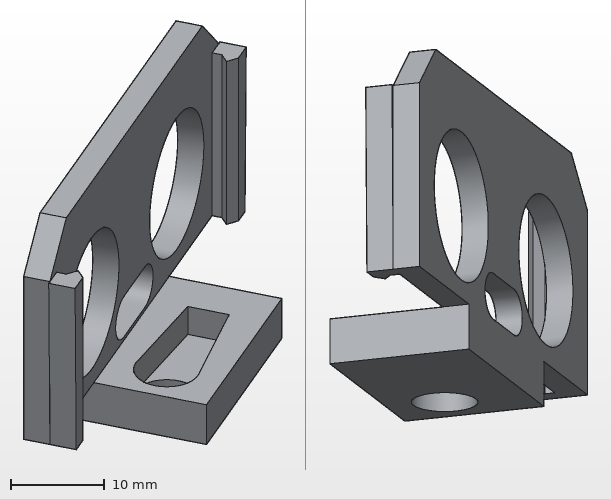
import cadquery as cq

plate_thickness = 3.0
plate_width = 51.5
total_height = 30.55
corner_cut_width = 5.0
corner_cut_height = 5.1

shelf_reach = 15.83
shelf_width = 23.0
shelf_thickness = 5.0
shelf_offset = -0.85

window_diameter = 16.5
window_spacing = 25.9
window_height = 15.3
slot_length = 11.4
slot_width = 5.1
slot_height = 7.95

hole_diameter = 7.1
hole_x = 9.35
hole_to_shelf_end = 5.25
recess_to_shelf_end = 5.05
recess_end_width = 4.7
recess_depth = 3.5

clip_reach = 3.0
clip_thickness = 2.4
clip_lean = 0.365
ridge_height = 1.1
ridge_start = 1.1
ridge_tip = 2.05

shelf_min_y = shelf_offset - shelf_width / 2
shelf_max_y = shelf_offset + shelf_width / 2
hole_y = shelf_min_y + hole_to_shelf_end
recess_end_y = shelf_max_y - recess_to_shelf_end
shoulder_height = total_height - corner_cut_height


def make_plate():
    """Plate with cut upper corners, a narrow foot, two windows and a slot."""
    half_width = plate_width / 2
    half_top = half_width - corner_cut_width
    outline = [
        (shelf_min_y, 0),
        (shelf_max_y, 0),
        (shelf_max_y, shelf_thickness),
        (half_width, shelf_thickness),
        (half_width, shoulder_height),
        (half_top, total_height),
        (-half_top, total_height),
        (-half_width, shoulder_height),
        (-half_width, shelf_thickness),
        (shelf_min_y, shelf_thickness),
    ]
    plate = cq.Workplane("YZ").polyline(outline).close().extrude(plate_thickness)
    windows = (
        cq.Workplane("YZ")
        .pushPoints([(-window_spacing / 2, window_height), (window_spacing / 2, window_height)])
        .circle(window_diameter / 2)
        .extrude(plate_thickness)
    )
    slot = cq.Workplane("YZ").center(0, slot_height).slot2D(slot_length, slot_width).extrude(plate_thickness)
    return plate.cut(windows).cut(slot)


def make_shelf():
    """Shelf with the through hole and the tapered recess in its top face."""
    shelf = (
        cq.Workplane("XY")
        .center(0, shelf_offset)
        .box(shelf_reach, shelf_width, shelf_thickness, centered=(False, True, False))
    )
    hole = cq.Workplane("XY").center(hole_x, hole_y).circle(hole_diameter / 2).extrude(shelf_thickness)
    recess_outline = [
        (hole_x - hole_diameter / 2, hole_y),
        (hole_x + hole_diameter / 2, hole_y),
        (hole_x + recess_end_width / 2, recess_end_y),
        (hole_x - recess_end_width / 2, recess_end_y),
    ]
    recess = (
        cq.Workplane("XY")
        .workplane(offset=shelf_thickness - recess_depth)
        .polyline(recess_outline)
        .close()
        .extrude(recess_depth)
    )
    return shelf.cut(hole).cut(recess)


def clip_section(outer_y):
    """Clip cross-section as (x, y) points, with its outer face at outer_y."""
    inner_y = plate_width / 2 + clip_lean - clip_thickness
    front_x = plate_thickness + clip_reach
    return [
        (plate_thickness, outer_y),
        (front_x, outer_y),
        (front_x, inner_y),
        (plate_thickness + ridge_tip, inner_y - ridge_height),
        (plate_thickness + ridge_start, inner_y),
        (plate_thickness, inner_y),
    ]


def make_clip():
    """Clip on the +Y side, thickening outward toward its top."""
    foot_y = plate_width / 2
    return (
        cq.Workplane("XY")
        .workplane(offset=shelf_thickness)
        .polyline(clip_section(foot_y))
        .close()
        .workplane(offset=shoulder_height - shelf_thickness)
        .polyline(clip_section(foot_y + clip_lean))
        .close()
        .loft(ruled=True)
    )


clip = make_clip()
result = make_plate().union(make_shelf()).union(clip).union(clip.mirror("XZ"))